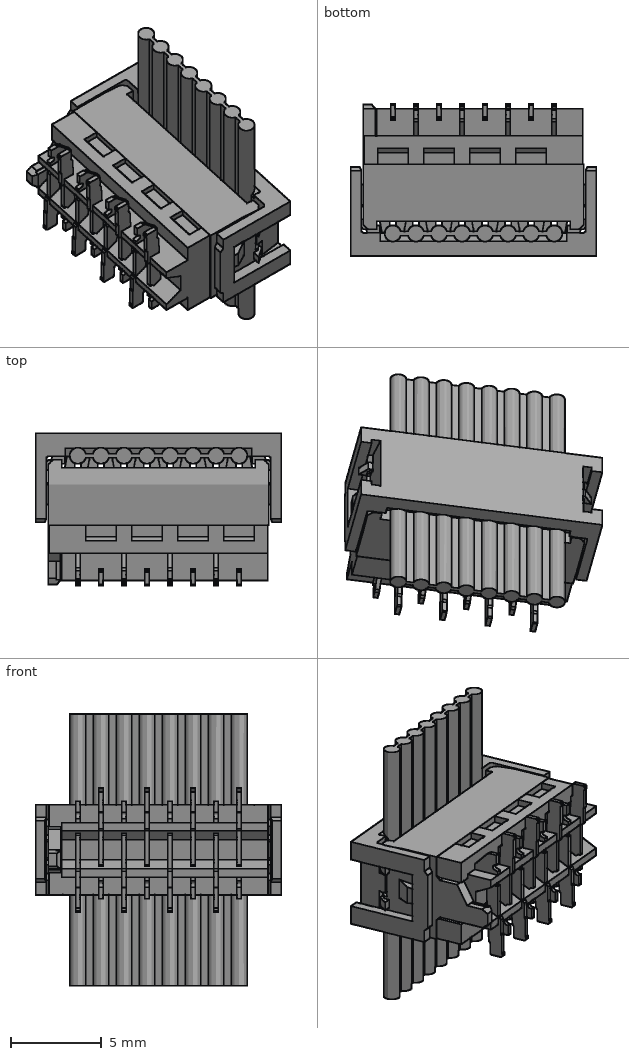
import cadquery as cq


wire_count = 8
wire_row_length = 8.9
pitch = wire_row_length / (wire_count - 1)
back_y = 4.2
body_height = 4.98
body_top = body_height / 2

cable_length = 15.0
wire_diameter = 0.9
wire_y = 2.95
web_thickness = 0.24

cover_width = 13.55
arm_inner_x = 6.18
arm_shoulder_y = -0.51
arm_tip_y = -0.72
arm_shoulder_z = 1.8
arm_tip_z = 1.6
arm_tip_relief = 0.09
inner_corner_radius = 0.15
plate_front_y = 2.92
window_half_z = 1.41
window_front_y = 0.25
undercut_half_z = 1.66
guide_front_y = 2.5
guide_half_z = 0.55
guide_outer_x = 5.94
core_back_x = 5.68
mouth_half_x = 5.15
mouth_back_y = 3.38
mouth_depth = 0.25

root_depth = 0.15
main_half_x = 6.09
main_front_y = -0.87
ear_back_y = 2.73
ear_chamfer = 0.27
ear_gap_half_z = 0.66
pocket_half_x = 5.32
pocket_y = 2.3
taper_start_y = 1.36
taper_drop = 0.12
block_half_x = 6.03
block_top = 2.48
block_front_y = -2.43
tongue_left_x = -5.34
tongue_half_z = 1.5
tongue_front_y = -3.93
groove_floor_y = -2.94
groove_floor_half_z = 0.55
groove_mouth_half_z = 1.05
notch_half_z = 1.26
key_right_x = -5.4
key_corner_x = 0.21
key_corner_y = 0.25
key_tip_y = -4.15
key_step_x = -5.62
key_step_y = -2.85
key_step_depth = 0.05

latch_back_y = 1.5
latch_crest_y = 0.7
latch_rise = 0.48
latch_back_half_z = 0.57
latch_front_half_z = 0.44
stop_front_y = 2.16
stop_rise = 0.44
stop_low_z = 0.81
stop_high_z = 1.3

side_pocket_width = 1.68
side_pocket_floor_y = -1.5
side_pocket_front_y = -1.74
side_pocket_depth = 0.36

contact_thickness = 0.25
prong_base_width = 1.44
prong_tip_width = 1.23
prong_slot = 0.33
prong_thickness = 0.3
prong_tip_y = 2.91
prong_root_y = 2.1
prong_z = 1.05


def box(x_range, y_range, z_range):
    """Box between two limits on each axis."""
    (x0, x1), (y0, y1), (z0, z1) = x_range, y_range, z_range
    return cq.Workplane("XY").box(x1 - x0, y1 - y0, z1 - z0, centered=False).translate((x0, y0, z0))


def plate_yz(points, x0, x1):
    """Outline of (Y, Z) points extruded from x0 to x1."""
    return cq.Workplane("YZ").polyline(points).close().extrude(x1 - x0).translate((x0, 0, 0))


def prism_xy(points, z0, z1):
    """Outline of (X, Y) points extruded from z0 to z1."""
    return cq.Workplane("XY").polyline(points).close().extrude(z1 - z0).translate((0, 0, z0))


def mirrored_z(points):
    """Close a (Y, Z) outline given for Z > 0 with its mirror image below."""
    return points + [(y, -z) for y, z in reversed(points)]


def both_ends(shape):
    """A shape together with its mirror image in X."""
    return shape.union(shape.mirror("YZ"))


wire_xs = [-wire_row_length / 2 + i * pitch for i in range(wire_count)]
upper_foot_xs = wire_xs[0::2]
upper_leg_xs = wire_xs[1::2]


def long_leg(x):
    """Spring blade in the groove that continues as a solder leg above the tongue."""
    outline = [
        (-3.18, -0.68), (-3.33, 2.61), (-3.42, 2.73), (-3.42, 3.36), (-3.48, 3.44),
        (-4.12, 3.44), (-4.2, 3.36), (-4.2, 3.22), (-4.15, 3.18), (-4.15, 2.1),
        (-4.11, 2.05), (-4.11, 1.17), (-4.02, 1.05), (-3.92, 1.05), (-3.92, -0.81),
        (-3.78, -0.81), (-3.66, -0.92),
    ]
    return plate_yz(outline, x - contact_thickness / 2, x + contact_thickness / 2)


def short_foot(x):
    """Sloped foot on top of the tongue, with a rounded notch in its front edge."""
    root_y = block_front_y + root_depth
    root_z = tongue_half_z - root_depth
    profile = (
        cq.Workplane("YZ").moveTo(root_y, root_z)
        .lineTo(root_y, 1.68)
        .lineTo(-3.21, 2.61).lineTo(-3.38, 2.68).lineTo(-3.82, 2.68).lineTo(-3.82, 2.07)
        .lineTo(-3.72, 2.07).threePointArc((-3.6, 1.92), (-3.72, 1.77))
        .lineTo(-3.92, 1.71).lineTo(-3.92, root_z).close()
    )
    return profile.extrude(contact_thickness).translate((x - contact_thickness / 2, 0, 0))


def prongs(x, z):
    """Tapered, slotted blade that pierces the cable around one wire."""
    taper = (prong_base_width - prong_tip_width) / 2
    half = prong_base_width / 2
    outline = [
        (x - half, prong_root_y), (x - half, pocket_y), (x - half + taper, prong_tip_y),
        (x + half - taper, prong_tip_y), (x + half, pocket_y), (x + half, prong_root_y),
    ]
    z0 = z - prong_thickness / 2
    z1 = z + prong_thickness / 2
    slot = box((x - prong_slot / 2, x + prong_slot / 2), (pocket_y, back_y), (z0, z1))
    return prism_xy(outline, z0, z1).cut(slot)


def housing_main():
    """Main block with its tapered back, the ears and the pocket below the cable."""
    profile = mirrored_z([
        (main_front_y, body_top), (taper_start_y, body_top),
        (ear_back_y, body_top - taper_drop),
    ])
    main = plate_yz(profile, -main_half_x, main_half_x)
    pocket = box((-pocket_half_x, pocket_half_x), (pocket_y, back_y), (-body_top, body_top))
    ear_gap = box((-main_half_x, main_half_x), (pocket_y, back_y), (-ear_gap_half_z, ear_gap_half_z))
    corner = prism_xy(
        [(main_half_x - ear_chamfer, ear_back_y), (main_half_x, ear_back_y - ear_chamfer),
         (main_half_x, ear_back_y)],
        -body_top, body_top,
    )
    return main.cut(pocket).cut(ear_gap).cut(both_ends(corner))


def housing_front():
    """Front block with its end notch, and the tongue with its V-sided groove."""
    block_y = (block_front_y, main_front_y)
    tongue_y = (tongue_front_y, block_front_y)
    block = box((-block_half_x, block_half_x), block_y, (-block_top, block_top))
    notch = box((-main_half_x, tongue_left_x), block_y, (-notch_half_z, notch_half_z))
    tongue = box((tongue_left_x, block_half_x), tongue_y, (-tongue_half_z, tongue_half_z))
    groove = plate_yz(
        mirrored_z([(tongue_front_y, groove_mouth_half_z), (groove_floor_y, groove_floor_half_z)]),
        tongue_left_x, block_half_x,
    )
    return block.cut(notch).union(tongue.cut(groove))


def key():
    """Polarising key that reaches forward beside the tongue."""
    outline = [
        (main_front_y, 1.35), (-1.11, 1.12), (-2.2, 1.12), (key_step_y, 0.0), (-3.81, 0.0), (key_tip_y, -0.2),
        (key_tip_y, -0.9), (-3.92, -1.05), (-3.92, -1.11), (-1.11, -1.11), (main_front_y, -1.35),
    ]
    step = box((key_step_x, key_right_x), (key_tip_y, key_step_y), (-key_step_depth, 0))
    corner = prism_xy(
        [(key_right_x - key_corner_x, key_tip_y), (key_right_x, key_tip_y + key_corner_y),
         (key_right_x, key_tip_y)],
        -body_top, body_top,
    )
    return plate_yz(outline, -main_half_x, key_right_x).cut(step).cut(corner)


def latch():
    """Ramped latch wedge that snaps into the cover window, narrower to the front."""
    root_x = main_half_x - root_depth
    crest_x = main_half_x + latch_rise
    ramp = prism_xy(
        [(root_x, latch_back_y), (main_half_x, latch_back_y), (crest_x, latch_crest_y),
         (crest_x, window_front_y), (root_x, window_front_y)],
        -body_top, body_top,
    )
    sides = plate_yz(
        mirrored_z([(latch_back_y, latch_back_half_z), (window_front_y, latch_front_half_z)]),
        root_x, crest_x,
    )
    return ramp.intersect(sides)


def stop():
    """Small ramp on the outer side of an ear."""
    outline = [(main_half_x - ear_chamfer, stop_front_y), (main_half_x - ear_chamfer, ear_back_y),
               (main_half_x, ear_back_y), (main_half_x + stop_rise, stop_front_y)]
    return prism_xy(outline, stop_low_z, stop_high_z)


def side_pocket(x):
    """Pocket in the top of the front block with a ramped front end."""
    floor_z = block_top - side_pocket_depth
    outline = [(main_front_y, block_top), (main_front_y, floor_z), (side_pocket_floor_y, floor_z),
               (side_pocket_front_y, block_top)]
    return plate_yz(outline, x - side_pocket_width / 2, x + side_pocket_width / 2)


def make_housing():
    body = housing_main().union(housing_front()).union(key())
    body = body.union(both_ends(latch()))
    body = body.union(both_ends(stop())).union(both_ends(stop()).mirror("XY"))
    for x in upper_leg_xs:
        body = body.cut(side_pocket(x)).union(long_leg(x)).union(short_foot(x).mirror("XY"))
        body = body.union(prongs(x, prong_z))
    for x in upper_foot_xs:
        body = body.cut(side_pocket(x).mirror("XY")).union(long_leg(x).mirror("XY")).union(short_foot(x))
        body = body.union(prongs(x, -prong_z))
    return body


def make_ribbon():
    """Round wires joined by a flat web."""
    ribbon = box(
        (wire_xs[0], wire_xs[-1]),
        (wire_y - web_thickness / 2, wire_y + web_thickness / 2),
        (-cable_length / 2, cable_length / 2),
    )
    for x in wire_xs:
        wire = cq.Workplane("XY").circle(wire_diameter / 2).extrude(cable_length)
        ribbon = ribbon.union(wire.translate((x, wire_y, -cable_length / 2)))
    return ribbon


def cover_arm():
    """Side arm on +X with a pointed tip and a bevelled inner edge."""
    outer_x = cover_width / 2
    outline = mirrored_z([
        (back_y, body_top), (arm_shoulder_y, body_top), (arm_shoulder_y, arm_shoulder_z),
        (arm_tip_y, arm_tip_z),
    ])
    relief = prism_xy(
        [(arm_inner_x, arm_shoulder_y), (arm_inner_x + arm_tip_relief, arm_tip_y), (arm_inner_x, arm_tip_y)],
        -body_top, body_top,
    )
    window = box((arm_inner_x, outer_x), (window_front_y, back_y), (-window_half_z, window_half_z))
    return plate_yz(outline, arm_inner_x, outer_x).cut(relief).cut(window)


def cover_core():
    """Back plate with the hollows behind the arm windows and rounded inner corners."""
    plate = box((-arm_inner_x, arm_inner_x), (plate_front_y, back_y), (-body_top, body_top))
    r = inner_corner_radius
    corner = box((arm_inner_x - r, arm_inner_x), (plate_front_y - r, plate_front_y), (-body_top, body_top))
    rounding = cq.Workplane("XY").circle(r).extrude(body_height)
    corner = corner.cut(rounding.translate((arm_inner_x - r, plate_front_y - r, -body_top)))
    plate = plate.union(both_ends(corner))
    hollow = prism_xy(
        [(guide_outer_x, guide_front_y), (core_back_x, back_y), (arm_inner_x, back_y),
         (arm_inner_x, guide_front_y)],
        -undercut_half_z, undercut_half_z,
    )
    guide = box((mouth_half_x, guide_outer_x), (guide_front_y, plate_front_y), (-guide_half_z, guide_half_z))
    return plate.union(both_ends(guide)).cut(both_ends(hollow))


def cable_mouth():
    """Flare at the top of the back plate where the cable comes out."""
    outline = [(plate_front_y, body_top), (mouth_back_y, body_top), (plate_front_y, body_top - mouth_depth)]
    return plate_yz(outline, -mouth_half_x, mouth_half_x)


def make_cover():
    cover = cover_core().union(both_ends(cover_arm()))
    return cover.cut(cable_mouth()).cut(cable_mouth().mirror("XY"))


housing = make_housing()
ribbon = make_ribbon()
cover = make_cover().cut(ribbon)
ribbon = ribbon.cut(housing)

result = cq.Compound.makeCompound([housing.val(), ribbon.val(), cover.val()])